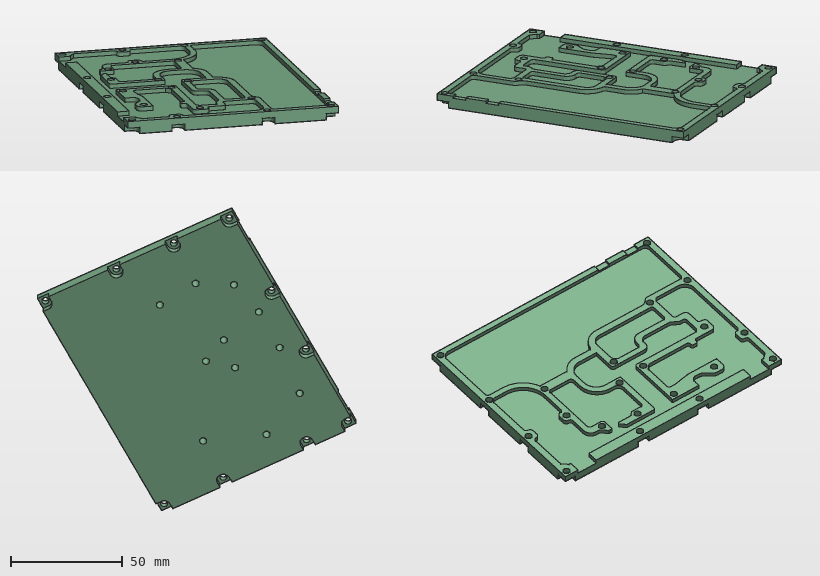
import cadquery as cq
import math

length = 122.0
width = 98.0
thickness = 6.0
side_rim = 3.3
back_rim = 2.9
front_bar = 5.4
pocket_depth = 2.0

screw_diameter = 3.2
head_diameter = 6.0
head_depth = 2.9
screw_inset = 2.7
front_screw_x = 44.2
boss_screw_y = 30.6
right_boss_screw_y = 23.5

front_gap_start = 7.1
front_gap_width = 10.2
back_notch_starts = (91.6, 107.8)
back_notch_width = 6.2
back_notch_depth = 1.0
diagonal_x = 6.0
diagonal_y = 7.8

left_rim = side_rim
right_rim = length - side_rim
back_rim_y = width - back_rim
front_gap_end = front_gap_start + front_gap_width
pocket_floor = thickness - pocket_depth
chamber_wall = 24.3
centre_wall_right = 58.1
spoon_wall_left = 67.8
wall_front = 9.5
middle_wall_top = 65.1
middle_pocket_top = 61.9

boss_reach = 3.0
boss_half_width = 3.0
boss_round = 1.7
boss_blend = 1.2

left_screws = (screw_inset, boss_screw_y, 59.5, width - screw_inset)
right_screws = (screw_inset, right_boss_screw_y, 65.5, width - screw_inset)
front_screws = (screw_inset, front_screw_x, length - front_screw_x, length - screw_inset)
back_screws = (screw_inset, length - screw_inset)
wall_screws = [
    (26.6, 49.9), (24.2, boss_screw_y), (32.6, 15.6), (50.0, 12.1), (55.6, 32.6), (61.6, 44.7),
    (97.4, 64.4), (107.4, 37.6), (70.5, 34.5), (70.5, 12.1), (95.4, 14.8),
]


def rounded_outline(corners):
    """Closed wire through (x, y, radius) corners, each rounded by a tangent arc; radius 0 stays sharp."""
    joints = []
    for i, (x, y, radius) in enumerate(corners):
        corner = cq.Vector(x, y)
        before = cq.Vector(*corners[i - 1][:2])
        after = cq.Vector(*corners[(i + 1) % len(corners)][:2])
        if radius == 0:
            joints.append((corner, None, corner))
            continue
        back = (before - corner).normalized()
        ahead = (after - corner).normalized()
        half_angle = back.getAngle(ahead) / 2
        reach = radius / math.tan(half_angle)
        centre_distance = radius / math.sin(half_angle)
        middle = corner + (back + ahead).normalized() * (centre_distance - radius)
        joints.append((corner + back * reach, middle, corner + ahead * reach))

    edges = []
    for i, (start, middle, end) in enumerate(joints):
        edges.append(cq.Edge.makeLine(joints[i - 1][2], start))
        if middle is not None:
            edges.append(cq.Edge.makeThreePointArc(start, middle, end))
    return cq.Wire.assembleEdges(edges)


def pocket(corners):
    """Cutter for a pocket that opens at the top face."""
    wire = rounded_outline(corners)
    body = cq.Solid.extrudeLinear(wire, [], cq.Vector(0, 0, pocket_depth))
    return cq.Workplane(body.translate(cq.Vector(0, 0, pocket_floor)))


def boss(wall_x, screw_y, outward, going):
    """Corners of a rounded boss on a wall along Y; outward is its X sense, going the Y sense of travel."""
    near_y = screw_y - going * boss_half_width
    far_y = screw_y + going * boss_half_width
    tip_x = wall_x + outward * boss_reach
    return [
        (wall_x, near_y, boss_blend), (tip_x, near_y, boss_round),
        (tip_x, far_y, boss_round), (wall_x, far_y, boss_blend),
    ]


def box(x_start, x_end, y_start, y_end, z_start, z_end):
    """Block between the given limits on each axis."""
    size = (x_end - x_start, y_end - y_start, z_end - z_start)
    return cq.Workplane().box(*size, centered=False).translate((x_start, y_start, z_start))


back_pocket = [
    (left_rim, back_rim_y, 3.7), (left_rim, 61.9, 1.5),
    (22.2, 61.9, 14.8), (26.0, 52.6, 0),
    (41.4, 52.6, 0.4), (44.0, 57.2, 9.0),
    (58.4, 57.2, 0.7), (60.1, middle_wall_top, 8.8),
    (94.7, middle_wall_top, 3.7), (97.6, 68.0, 2.5),
    (right_rim, 68.0, 1.5), (right_rim, back_rim_y, 2.5),
]

middle_pocket = [
    (62.2, middle_pocket_top, 4.4), (62.2, 47.0, 0.6), (64.4, 45.0, 0.6),
    (77.1, 45.0, 1.6), (77.1, 52.1, 4.1),
    (96.7, 52.1, 1.2), (96.7, middle_pocket_top, 1.2),
]

left_chamber = [
    (front_gap_start, 0, 0), (front_gap_start, front_bar, 0),
    (diagonal_x, front_bar, 0), (left_rim, diagonal_y, 0),
    *boss(left_rim, boss_screw_y, 1, 1),
    (left_rim, 59.0, 2.5), (chamber_wall, 59.0, 12.2),
    *boss(chamber_wall, boss_screw_y, -1, -1),
    (chamber_wall, 14.3, 4.0),
]
hook_wall_end = [
    (30.3, 14.3, 0.6), (33.4, 11.3, 0), (35.1, 11.3, 0), (35.1, 18.0, 1.3),
]
lower_left_chamber = [
    (27.2, 18.0, 1.6), (27.2, 47.8, 1.2), (40.3, 47.8, 1.5), (40.3, 32.1, 9.8),
    (55.1, 32.1, 2.7), (55.1, 14.6, 1.5),
    (48.7, 14.6, 0.6), (46.7, 12.8, 0.4), (39.4, 12.8, 0.7), (39.4, 12.0, 0.2), (42.1, wall_front, 0.4),
    (centre_wall_right, wall_front, 0.6),
]
upper_left_chamber = [
    (centre_wall_right, 35.3, 0.6), (43.0, 35.3, 6.7), (43.0, 53.9, 6.3), (58.9, 53.9, 0),
]
middle_chamber = [
    (58.9, 42.2, 1.5), (79.9, 42.2, 2.8), (79.9, 49.2, 3.0),
    (97.0, 49.2, 2.5), (100.5, 46.8, 1.2), (103.7, 46.8, 1.2), (103.7, 37.1, 2.1),
    (spoon_wall_left, 37.1, 1.2),
]
spoon_wall = [
    (spoon_wall_left, wall_front, 0), (82.7, wall_front, 0),
    (82.7, 15.2, 2.5), (88.6, 15.0, 3.7), (93.5, 11.2, 1.8),
    (99.3, 11.0, 2.5), (99.3, 18.0, 0),
    (83.0, 18.0, 9.8), (74.4, 16.5, 2.5), (71.0, 16.6, 1.2),
]
right_wall = [
    (71.0, 31.6, 0), (73.2, 33.8, 0), (95.6, 33.8, 1.0), (95.6, 31.4, 1.0), (99.1, 31.4, 1.0),
    (99.1, 33.8, 1.0), (110.8, 33.8, 2.0), (110.8, 41.1, 1.6), (107.0, 41.4, 0.9), (107.0, 50.1, 2.2),
]
right_chamber = [
    (100.0, 50.1, 1.2), (100.0, middle_wall_top, 2.2), (right_rim, middle_wall_top, 4.9),
    *boss(right_rim, right_boss_screw_y, -1, -1),
    (right_rim, diagonal_y, 0), (length - diagonal_x, front_bar, 0),
    (length - front_gap_start, front_bar, 0), (length - front_gap_start, 0, 0),
]
front_edge = [
    (length - front_gap_end, 0, 0), (length - front_gap_end, front_bar, 0),
    (front_gap_end, front_bar, 0), (front_gap_end, 0, 0),
]
front_pocket = (
    left_chamber + hook_wall_end + lower_left_chamber + upper_left_chamber + middle_chamber
    + spoon_wall + right_wall + right_chamber + front_edge
)

plate = box(0, length, 0, width, 0, thickness)
for outline in (back_pocket, middle_pocket, front_pocket):
    plate = plate.cut(pocket(outline))

for start in back_notch_starts:
    end = start + back_notch_width
    plate = plate.cut(box(start, end, back_rim_y, width, thickness - back_notch_depth, thickness))

rim_screws = (
    [(screw_inset, y) for y in left_screws]
    + [(length - screw_inset, y) for y in right_screws]
    + [(x, screw_inset) for x in front_screws[1:-1]]
)
holes = cq.Workplane().pushPoints(rim_screws + wall_screws).circle(screw_diameter / 2).extrude(thickness)
plate = plate.cut(holes)

head_radius = head_diameter / 2
plate = plate.cut(cq.Workplane().pushPoints(rim_screws).circle(head_radius).extrude(head_depth))
for y in left_screws:
    plate = plate.cut(box(0, screw_inset, y - head_radius, y + head_radius, 0, head_depth))
for y in right_screws:
    plate = plate.cut(box(length - screw_inset, length, y - head_radius, y + head_radius, 0, head_depth))
for x in front_screws:
    plate = plate.cut(box(x - head_radius, x + head_radius, 0, screw_inset, 0, head_depth))
for x in back_screws:
    plate = plate.cut(box(x - head_radius, x + head_radius, width - screw_inset, width, 0, head_depth))

result = plate